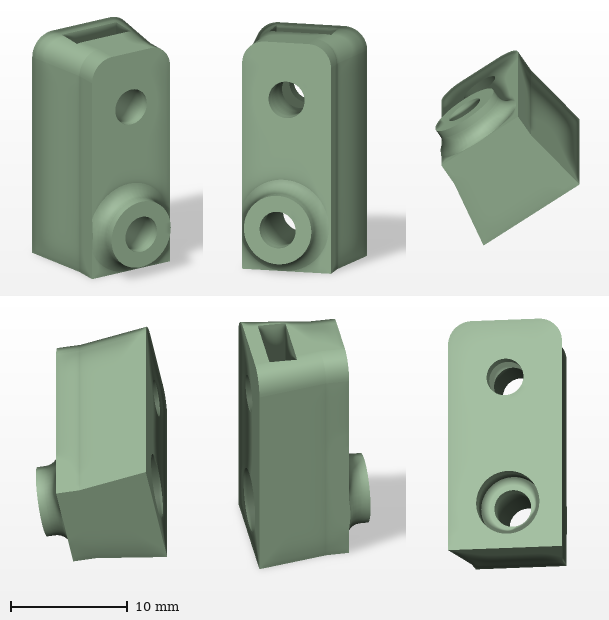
import cadquery as cq

height = 20.0
wide_width = 9.9
narrow_width = 7.9
taper_length = 6.0
body_length = 8.0
top_edge_radius = 2.0

hole_diameter = 3.2
upper_hole_height = 15.0
slot_start = 1.28
slot_thickness = 2.4
slot_width = 5.5
slot_bottom = 11.0

boss_y = -0.25
boss_z = 4.0
boss_radius = 3.0
boss_length = 2.0
flare_length = 1.3
flare_base_radius = 4.0
counterbore_diameter = 5.5
counterbore_depth = 2.5


def make_body():
    half_wide = wide_width / 2
    half_narrow = narrow_width / 2
    outline = [
        (0, -half_wide),
        (taper_length, -half_narrow),
        (body_length, -half_narrow),
        (body_length, half_narrow),
        (taper_length, half_narrow),
        (0, half_wide),
    ]
    body = cq.Workplane("XY").polyline(outline).close().extrude(height)
    return body.faces(">Z").edges("not |Y").fillet(top_edge_radius)


def make_boss():
    """Boss with a concave flare tangent to its cylinder, trimmed to the body sides."""
    flare_rise = flare_base_radius - boss_radius
    flare_radius = (flare_length**2 + flare_rise**2) / (2 * flare_rise)
    arc_center_radius = boss_radius + flare_radius
    middle_x = flare_length / 2
    middle_radius = arc_center_radius - (flare_radius**2 - (flare_length - middle_x) ** 2) ** 0.5
    boss = (
        cq.Workplane("XY")
        .lineTo(0, flare_base_radius)
        .threePointArc((middle_x, middle_radius), (flare_length, boss_radius))
        .lineTo(boss_length, boss_radius)
        .lineTo(boss_length, 0)
        .close()
        .revolve(360, (0, 0, 0), (1, 0, 0))
        .translate((body_length, boss_y, boss_z))
    )
    envelope = cq.Workplane("XY").box(
        body_length + boss_length, narrow_width, height, centered=(False, True, False)
    )
    return boss.intersect(envelope)


def make_bore(y, z, diameter, depth):
    """Cylinder along X, starting at the wide face."""
    return cq.Workplane("YZ").center(y, z).circle(diameter / 2).extrude(depth)


def make_slot():
    slot = cq.Workplane("XY").box(
        slot_thickness, slot_width, height - slot_bottom, centered=(False, True, False)
    )
    return slot.translate((slot_start, 0, slot_bottom))


total_length = body_length + boss_length
result = (
    make_body()
    .union(make_boss())
    .cut(make_slot())
    .cut(make_bore(0, upper_hole_height, hole_diameter, total_length))
    .cut(make_bore(boss_y, boss_z, hole_diameter, total_length))
    .cut(make_bore(boss_y, boss_z, counterbore_diameter, counterbore_depth))
)